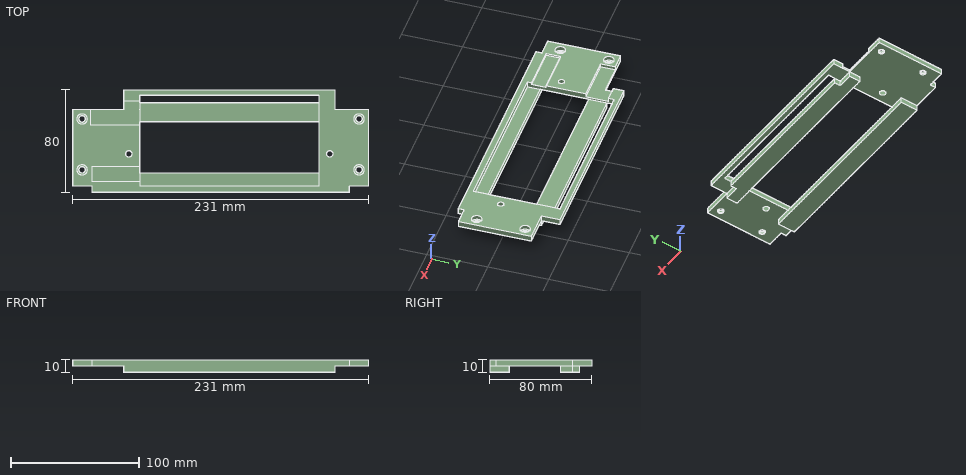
import cadquery as cq

LENGTH = 231.0
WIDTH = 80.0
HEIGHT = 10.0
PLATE_BOTTOM = HEIGHT / 2

EAR_FRONT = 4.9
EAR_BACK = 64.7
FRONT_INSET = 15.0
TAB_LEFT = 39.7
TAB_RIGHT = LENGTH - 26.0

WINDOW_LEFT = 52.5
WINDOW_RIGHT = LENGTH - 38.8
WINDOW_FRONT = EAR_FRONT
WINDOW_BACK = WIDTH - 4.2

FRONT_RAIL_BACK = 15.2
BACK_RAIL_FRONT = 55.0
BACK_RAIL_BACK = 70.0

BACK_RECESS_LEFT = 14.0
BACK_RECESS_FRONT = 52.7
BACK_RECESS_BACK = 71.1
BACK_RECESS_DEPTH = 3.0
FRONT_RECESS_LEFT = FRONT_INSET
FRONT_RECESS_FRONT = 8.3
FRONT_RECESS_BACK = 20.0
FRONT_RECESS_DEPTH = 1.6

HOLE_DIAMETER = 4.9
COUNTERBORE_DIAMETER = 8.0
COUNTERBORE_DEPTH = 3.7
SCREW_INSET = 7.5
SCREW_ROWS = (17.5, 57.3)
PILOT_LEFT = 44.0
PILOT_RIGHT = LENGTH - 30.3
PILOT_ROW = 30.0


def block(left, right, front, back, bottom, top):
    """Axis-aligned box given by its six limits."""
    size = (right - left, back - front, top - bottom)
    return cq.Workplane("XY").box(*size, centered=False).translate((left, front, bottom))


def make_plate():
    """Two ears joined by a front strip and a back tab, with an open window."""
    ears = block(0, LENGTH, EAR_FRONT, EAR_BACK, PLATE_BOTTOM, HEIGHT)
    front_strip = block(FRONT_INSET, LENGTH - FRONT_INSET, 0, EAR_BACK, PLATE_BOTTOM, HEIGHT)
    back_tab = block(TAB_LEFT, TAB_RIGHT, EAR_FRONT, WIDTH, PLATE_BOTTOM, HEIGHT)
    window = block(WINDOW_LEFT, WINDOW_RIGHT, WINDOW_FRONT, WINDOW_BACK, PLATE_BOTTOM, HEIGHT)
    return ears.union(front_strip).union(back_tab).cut(window)


def make_rails():
    """Front and back rails that span the window below the plate."""
    front_rail = block(TAB_LEFT, TAB_RIGHT, 0, FRONT_RAIL_BACK, 0, PLATE_BOTTOM)
    back_rail = block(TAB_LEFT, TAB_RIGHT, BACK_RAIL_FRONT, EAR_BACK, 0, PLATE_BOTTOM)
    back_rail_edge = block(WINDOW_LEFT, WINDOW_RIGHT, EAR_BACK, BACK_RAIL_BACK, 0, PLATE_BOTTOM)
    return front_rail.union(back_rail).union(back_rail_edge)


def make_recesses():
    """Shallow pockets beside the left end of the window."""
    back_recess = block(
        BACK_RECESS_LEFT, WINDOW_LEFT, BACK_RECESS_FRONT, BACK_RECESS_BACK,
        HEIGHT - BACK_RECESS_DEPTH, HEIGHT,
    )
    front_recess = block(
        FRONT_RECESS_LEFT, WINDOW_LEFT, FRONT_RECESS_FRONT, FRONT_RECESS_BACK,
        HEIGHT - FRONT_RECESS_DEPTH, HEIGHT,
    )
    return back_recess.union(front_recess)


body = make_plate().union(make_rails()).cut(make_recesses())

screw_points = [(x, y) for x in (SCREW_INSET, LENGTH - SCREW_INSET) for y in SCREW_ROWS]
pilot_points = [(x, PILOT_ROW) for x in (PILOT_LEFT, PILOT_RIGHT)]
top_plane = cq.Workplane("XY", origin=(0, 0, HEIGHT))
all_points = screw_points + pilot_points
through_holes = top_plane.pushPoints(all_points).circle(HOLE_DIAMETER / 2).extrude(-HEIGHT)
counterbores = top_plane.pushPoints(screw_points).circle(COUNTERBORE_DIAMETER / 2).extrude(-COUNTERBORE_DEPTH)

result = body.cut(through_holes).cut(counterbores)